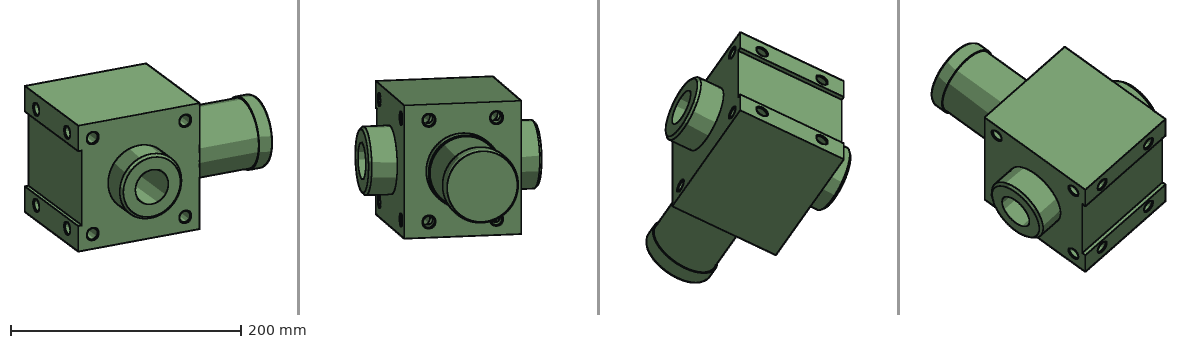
import cadquery as cq

block_width = 104.0
block_side = 118.0
half_side = block_side / 2

channel_height = 70.0
channel_depth = 3.5

hub_span = 154.0
hub_diameter = 60.0
hub_chamfer = 2.4
bore_diameter = 32.0

total_length = 199.0
sleeve_length = total_length - block_side
sleeve_diameter = 62.5
collar_diameter = 65.0
base_collar_length = 10.0
end_collar_length = 13.3
end_rounding = 3.0

hole_diameter = 10.1
hole_mouth_diameter = 12.0
hole_pitch = 90.0
front_hole_pitch = 60.0


def cylinder_y(diameter, start, length):
    """Cylinder on the Y axis, running from start towards +Y."""
    plane = cq.Plane(origin=(0, start, 0), xDir=(1, 0, 0), normal=(0, 1, 0))
    return cq.Workplane(plane).circle(diameter / 2).extrude(length)


def make_hubs():
    hubs = cq.Workplane("YZ").circle(hub_diameter / 2).extrude(hub_span / 2, both=True)
    return hubs.faces("<X or >X").chamfer(hub_chamfer)


def make_sleeve():
    barrel = cylinder_y(sleeve_diameter, half_side, sleeve_length)
    base_collar = cylinder_y(collar_diameter, half_side, base_collar_length)
    end_start = half_side + sleeve_length - end_collar_length
    end_collar = cylinder_y(collar_diameter, end_start, end_collar_length)
    end_collar = end_collar.faces(">Y").edges().fillet(end_rounding)
    return barrel.union(base_collar).union(end_collar)


def through_hole_cutters(plane_name, pitch_u, pitch_v, body_length):
    """Four through holes with a 45 degree countersink at both ends."""
    mouth_depth = (hole_mouth_diameter - hole_diameter) / 2
    plane = cq.Workplane(plane_name).rarray(pitch_u, pitch_v, 2, 2)
    cutters = plane.circle(hole_diameter / 2).extrude(body_length / 2, both=True)
    for side in (-1, 1):
        mouths = (
            cq.Workplane(plane_name)
            .workplane(offset=side * body_length / 2)
            .rarray(pitch_u, pitch_v, 2, 2)
            .circle(hole_mouth_diameter / 2)
            .extrude(-side * mouth_depth, taper=45)
        )
        cutters = cutters.union(mouths)
    return cutters


block = cq.Workplane("XY").box(block_width, block_side, block_side)
channel = cq.Workplane("XY").box(block_width, 2 * channel_depth, channel_height)
channel = channel.translate((0, -half_side, 0))
bore = cq.Workplane("YZ").circle(bore_diameter / 2).extrude(hub_span / 2, both=True)

result = (
    block.cut(channel)
    .union(make_hubs())
    .union(make_sleeve())
    .cut(bore)
    .cut(through_hole_cutters("YZ", hole_pitch, hole_pitch, block_width))
    .cut(through_hole_cutters("XZ", front_hole_pitch, hole_pitch, block_side))
)